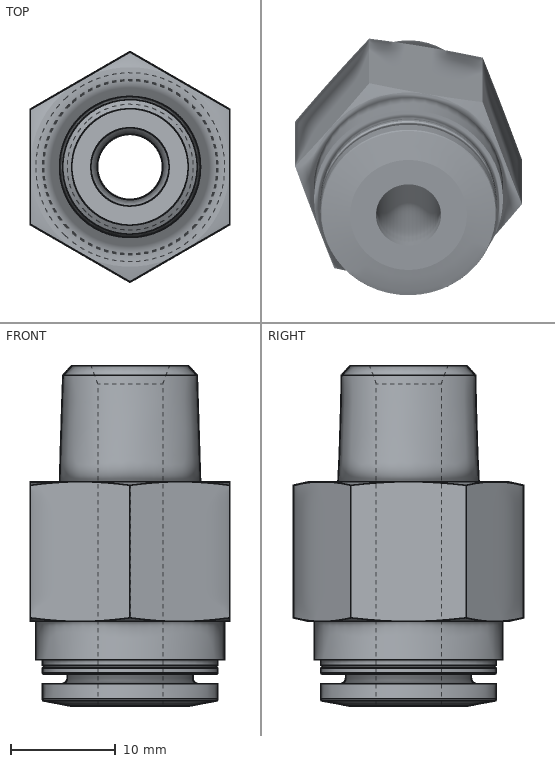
import cadquery as cq
import math

total_height = 32.45
hex_bottom = 8.08
hex_top = 21.38
collar_bottom = 4.4

hex_across_flats = 19.0
hex_chamfer_angle = 13.0

thread_taper = 1 / 16
thread_tip_diameter = 12.8
thread_end_diameter = 11.1
thread_chamfer_height = 0.95

collar_diameter = 18.0
ring_diameter = 16.75
ring_bottom = 3.05
ring_edge_chamfer = 0.13
groove_bottom = 3.73
groove_top = 3.9

neck_diameter = 12.0
neck_fillet = 0.52
flange_top = 2.15
flange_diameter = 16.75
flange_edge_bottom = 0.7
flange_bevel_top = 0.52
flange_bevel_diameter = 16.6
end_face_diameter = 11.13

bore_diameter = 6.2
mouth_diameter = 7.45
mouth_depth = 1.72


def revolve_profile(points):
    """Revolve (diameter, height) points around Z, closing them along the axis."""
    outline = [(0, points[0][1])]
    outline += [(diameter / 2, height) for diameter, height in points]
    outline.append((0, points[-1][1]))
    return cq.Workplane("XZ").polyline(outline).close().revolve(360, (0, 0), (0, 1))


def make_hex_body():
    across_corners = hex_across_flats / math.cos(math.radians(30))
    height = hex_top - hex_bottom
    prism = (
        cq.Workplane("XY")
        .workplane(offset=hex_bottom)
        .transformed(rotate=(0, 0, 90))
        .polygon(6, across_corners)
        .extrude(height)
    )
    envelope_diameter = across_corners + 0.65
    drop = (envelope_diameter - hex_across_flats) / 2 * math.tan(math.radians(hex_chamfer_angle))
    envelope = revolve_profile([
        (hex_across_flats, hex_bottom),
        (envelope_diameter, hex_bottom + drop),
        (envelope_diameter, hex_top - drop),
        (hex_across_flats, hex_top),
    ])
    return prism.intersect(envelope)


def make_thread():
    tip_height = total_height - thread_chamfer_height
    root_diameter = thread_tip_diameter + (tip_height - hex_top) * thread_taper
    return revolve_profile([
        (root_diameter, hex_top),
        (thread_tip_diameter, tip_height),
        (thread_end_diameter, total_height),
    ])


def make_lower_end():
    groove_diameter = ring_diameter - 2 * ring_edge_chamfer
    body = revolve_profile([
        (end_face_diameter, 0),
        (flange_bevel_diameter, flange_bevel_top),
        (flange_diameter, flange_edge_bottom),
        (flange_diameter, flange_top),
        (neck_diameter, flange_top),
        (neck_diameter, ring_bottom),
        (groove_diameter, ring_bottom),
        (ring_diameter, ring_bottom + ring_edge_chamfer),
        (ring_diameter, groove_bottom - ring_edge_chamfer),
        (groove_diameter, groove_bottom),
        (groove_diameter, groove_top),
        (ring_diameter, groove_top),
        (ring_diameter, collar_bottom),
        (collar_diameter, collar_bottom),
        (collar_diameter, hex_bottom),
    ])
    height_tolerance = 0.03
    neck_foot = cq.selectors.RadiusNthSelector(0)
    flange_plane = cq.selectors.BoxSelector(
        (-flange_diameter, -flange_diameter, flange_top - height_tolerance),
        (flange_diameter, flange_diameter, flange_top + height_tolerance),
    )
    return body.edges("%CIRCLE").edges(flange_plane).edges(neck_foot).fillet(neck_fillet)


def make_bore():
    return revolve_profile([
        (bore_diameter, 0),
        (bore_diameter, total_height - mouth_depth),
        (mouth_diameter, total_height),
    ])


result = make_hex_body().union(make_thread()).union(make_lower_end()).cut(make_bore())